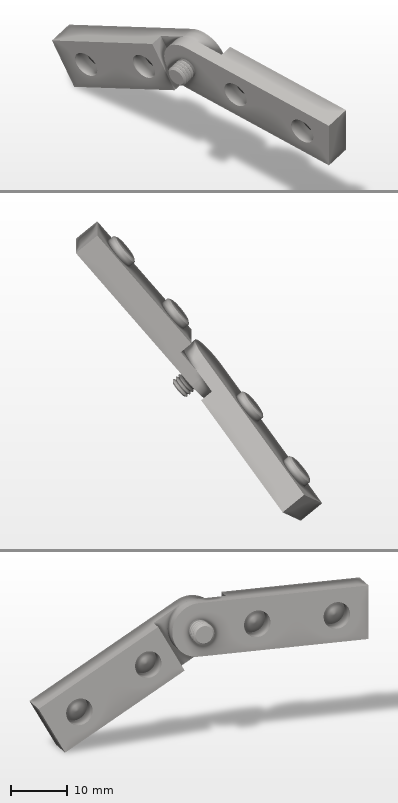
import cadquery as cq
import math


OVERALL_LENGTH = 62.2
FOLD_ANGLE = 30.0

LEAF_WIDTH = 10.0
LEAF_THICKNESS = LEAF_WIDTH / 2
SHOULDER_DISTANCE = 6.0
LEAF_RADIUS = LEAF_WIDTH / 2
HALF_THICKNESS = LEAF_THICKNESS / 2
FOLD = math.radians(FOLD_ANGLE)
LEAF_LENGTH = (OVERALL_LENGTH - LEAF_RADIUS * math.sin(FOLD)) / (1 + math.cos(FOLD))

PLUG_DIAMETER = 5.0
FIRST_PLUG_DISTANCE = 11.0
PLUG_SPACING = 15.0
PLUG_DISTANCES = [FIRST_PLUG_DISTANCE, FIRST_PLUG_DISTANCE + PLUG_SPACING]
PLUG_DEPTH = 2.0
PLUG_TIP_HEIGHT = 1.4
HEAD_DIAMETER = 6.0
HEAD_HEIGHT = 1.5
BEVEL_HEIGHT = 0.3
BEVEL_WIDTH = 0.5

PIN_DIAMETER = 4.0
PIN_PROJECTION = 3.0
THREAD_PITCH = 0.7
THREAD_DEPTH = 0.4
CREST_WIDTH = 0.1
RIDGE_COUNT = 4
PIN_RADIUS = PIN_DIAMETER / 2
PIN_ROOT_RADIUS = PIN_RADIUS - THREAD_DEPTH


def along_y(radius, y_start, y_end):
    """Cylinder around the Y axis between two Y positions."""
    base = cq.Workplane("XZ", origin=(0, y_start, 0))
    return base.circle(radius).extrude(y_start - y_end)


def make_leaf():
    """Leaf pointing along +X, with its half-thickness rounded knuckle at the front."""
    bar_length = LEAF_LENGTH - SHOULDER_DISTANCE
    bar = cq.Workplane("XY").box(bar_length, LEAF_THICKNESS, LEAF_WIDTH, centered=(False, True, True))
    bar = bar.translate((SHOULDER_DISTANCE, 0, 0))
    tongue = cq.Workplane("XY").box(
        SHOULDER_DISTANCE, HALF_THICKNESS, LEAF_WIDTH, centered=(False, False, True)
    )
    tongue = tongue.translate((0, -HALF_THICKNESS, 0))
    knuckle = along_y(LEAF_RADIUS, -HALF_THICKNESS, 0)
    leaf = bar.union(tongue).union(knuckle)

    leaf = leaf.cut(along_y(PIN_RADIUS, -HALF_THICKNESS, HALF_THICKNESS))
    plug_hole = along_y(PLUG_DIAMETER / 2, -HALF_THICKNESS, HALF_THICKNESS)
    for distance in PLUG_DISTANCES:
        leaf = leaf.cut(plug_hole.translate((distance, 0, 0)))
    return leaf


def make_plug():
    """Plug on the Y axis: cone tip facing the front, shank in the leaf, bevelled head behind it."""
    shank_radius = PLUG_DIAMETER / 2
    head_radius = HEAD_DIAMETER / 2
    shank_start = HALF_THICKNESS - PLUG_DEPTH
    head_end = HALF_THICKNESS + HEAD_HEIGHT
    half_section = (
        cq.Workplane("XY")
        .moveTo(0, shank_start - PLUG_TIP_HEIGHT)
        .lineTo(shank_radius, shank_start)
        .lineTo(shank_radius, HALF_THICKNESS)
        .lineTo(head_radius, HALF_THICKNESS)
        .lineTo(head_radius, head_end - BEVEL_HEIGHT)
        .lineTo(head_radius - BEVEL_WIDTH, head_end)
        .lineTo(0, head_end)
        .close()
    )
    return half_section.revolve(360, (0, 0, 0), (0, 1, 0))


def make_pin():
    """Pin flush with the back of the leaves, with ring-shaped thread ridges on its front end."""
    front_end = -HALF_THICKNESS - PIN_PROJECTION
    first_crest = front_end + THREAD_DEPTH
    points = [(0, front_end), (PIN_ROOT_RADIUS, front_end)]
    for ridge in range(RIDGE_COUNT):
        crest = first_crest + ridge * THREAD_PITCH
        points.append((PIN_RADIUS, crest - CREST_WIDTH / 2))
        points.append((PIN_RADIUS, crest + CREST_WIDTH / 2))
        points.append((PIN_ROOT_RADIUS, crest + THREAD_PITCH / 2))
    shank_start = first_crest + RIDGE_COUNT * THREAD_PITCH - CREST_WIDTH / 2
    points += [(PIN_RADIUS, shank_start), (PIN_RADIUS, HALF_THICKNESS), (0, HALF_THICKNESS)]
    return cq.Workplane("XY").polyline(points).close().revolve(360, (0, 0, 0), (0, 1, 0))


def swing(body, angle):
    """Turn a body around the pin axis."""
    return body.rotate((0, 0, 0), (0, 1, 0), angle)


right_leaf = make_leaf()
left_leaf = swing(make_leaf().rotate((0, 0, 0), (0, 0, 1), 180), -FOLD_ANGLE)

pin = make_pin()

plugs = []
for leaf_angle in (0, 180 - FOLD_ANGLE):
    for plug_distance in PLUG_DISTANCES:
        plugs.append(swing(make_plug().translate((plug_distance, 0, 0)), leaf_angle))

result = cq.Compound.makeCompound(
    [right_leaf.val(), left_leaf.val(), pin.val(), *[plug.val() for plug in plugs]]
)